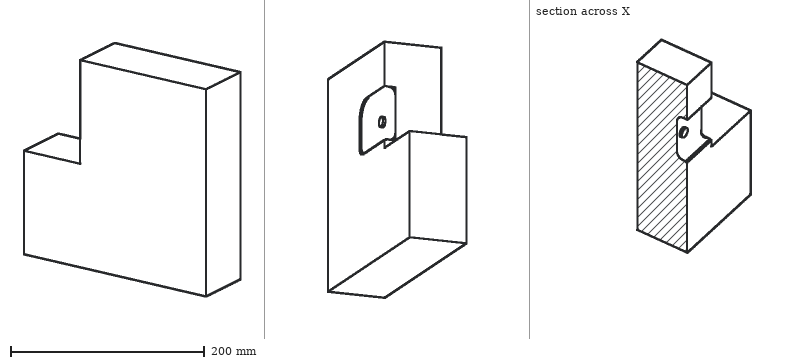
import cadquery as cq

side = 228.5
thickness = 63.5
step_x = 70.6
step_z = side / 2

pocket_bottom = 124.0
pocket_top = 180.8
pocket_depth = 12.5
pocket_length = 68.5
upper_corner_radius = 20.1
lower_corner_radius = 8.7
floor_fillet = 7.0

entrance_length = 1.4
entrance_fillet = 1.8

relief_depth = 1.8
relief_drop = 1.0

boss_diameter = 11.0
boss_height = 2.7
boss_z = 152.0


def block(length, depth, bottom, top):
    """Box running from the step wall towards +X and inward from the +Y face."""
    return (
        cq.Workplane("XY")
        .box(length, depth, top - bottom, centered=False)
        .translate((step_x, thickness - depth, bottom))
    )


def make_body():
    """L-shaped block with a square step in its upper -X corner."""
    outline = [(0, 0), (side, 0), (side, side), (step_x, side), (step_x, step_z), (0, step_z)]
    return cq.Workplane("XZ").polyline(outline).close().extrude(-thickness)


def make_pocket():
    """Volume of the pocket, with its rounded far end, entrance and relief."""
    pocket = block(pocket_length, pocket_depth, pocket_bottom, pocket_top)
    pocket = pocket.edges("|Y and >X and >Z").fillet(upper_corner_radius)
    pocket = pocket.edges("|Y and >X").fillet(lower_corner_radius)
    pocket = pocket.faces("<Y").edges("not(<X)").fillet(floor_fillet)

    entrance = block(entrance_length, pocket_depth, pocket_bottom, pocket_top)
    entrance = entrance.edges("|X and <Y and >Z").fillet(entrance_fillet)

    relief = block(pocket_length + relief_drop, relief_depth, pocket_bottom - relief_drop, pocket_top)
    relief = relief.edges("|Y and >X and >Z").fillet(upper_corner_radius)
    relief = relief.edges("|Y and >X").fillet(lower_corner_radius)
    return pocket.union(entrance).union(relief)


def make_boss():
    """Round boss standing on the pocket floor."""
    floor_y = thickness - pocket_depth
    return (
        cq.Workplane("XZ", origin=(step_x + pocket_length / 2, floor_y, boss_z))
        .circle(boss_diameter / 2)
        .extrude(-boss_height)
    )


result = make_body().cut(make_pocket()).union(make_boss())